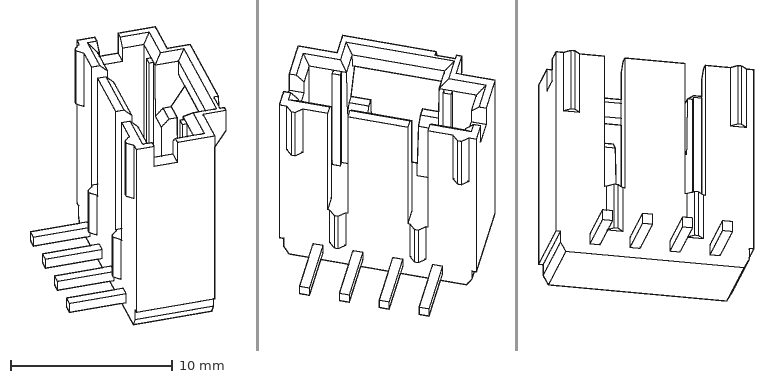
import cadquery as cq


height = 13.59
width = 12.57
depth = 5.1
overlap = 0.14

foot_height = 1.35
foot_step = 0.29
foot_bevel_width = 0.34
foot_bevel_height = 0.61

floor_z = 4.72
cavity_half_width = 5.33
cavity_front_y = 1.05
cavity_back_y = 4.05
mouth_bevel = 0.5
mouth_z = height - mouth_bevel

hood_width = 7.6
hood_reach = 1.5
hood_back_y = depth + hood_reach
hood_end_z = 12.07
hood_root_z = 9.81
hood_inner_y = 5.57
window_half_top = 2.95
window_half_bottom = 2.9
sill_bevel = 0.5
sill_z = 9.78

back_slot_half_top = 1.65
back_slot_half_bottom = 1.54

marker_x = 2.81
marker_top_width = 1.29
marker_bottom_width = 0.7
marker_depth = 0.3

side_notch_y = 1.92
side_notch_width = 1.51
side_notch_z = 12.1

slot_x = 2.55
slot_width = 1.28
rib_height = 0.4
rib_base = 1.03
rib_crest = 0.25
upper_rib_x = 5.3
upper_rib_bottom = 9.6
lower_rib_bottom = 1.73

key_x = 3.53
key_width = 0.52
key_height = 0.3

pin_count = 4
pin_pitch = 2.54
pin_width = 0.64
pin_thickness = 0.68
pin_bottom_z = 0.67
pin_reach = 3.68


def box(x_min, x_max, y_min, y_max, z_min, z_max):
    """Axis-aligned box between the given limits."""
    size = (x_max - x_min, y_max - y_min, z_max - z_min)
    return cq.Workplane("XY").box(*size, centered=False).translate((x_min, y_min, z_min))


def prism_along_y(points, y_min, y_max):
    """Prism with an XZ outline, running from y_min to y_max."""
    return cq.Workplane("XZ", origin=(0, y_min, 0)).polyline(points).close().extrude(y_min - y_max)


def prism_along_x(points, x_center, x_width):
    """Prism with a YZ outline, centred on x_center."""
    plane = cq.Workplane("YZ", origin=(x_center - x_width / 2, 0, 0))
    return plane.polyline(points).close().extrude(x_width)


def trapezoid(bottom_half, bottom_z, top_half, top_z, center_x=0.0):
    """Corners of an XZ trapezoid that is symmetric about center_x."""
    return [
        (center_x - bottom_half, bottom_z),
        (center_x + bottom_half, bottom_z),
        (center_x + top_half, top_z),
        (center_x - top_half, top_z),
    ]


def housing_block():
    """Solid block with the stepped foot, bevelled along both lower sides."""
    half = width / 2
    foot_half = half - foot_step
    right_side = [
        (foot_half - foot_bevel_width, 0),
        (foot_half, foot_bevel_height),
        (foot_half, foot_height),
        (half, foot_height),
        (half, height),
    ]
    left_side = [(-x, z) for x, z in reversed(right_side)]
    return prism_along_y(right_side + left_side, 0, depth)


def hood_block():
    """Solid hood with sloping cheeks, rooted in the back wall."""
    outline = [
        (depth - overlap, height),
        (hood_back_y, height),
        (hood_back_y, hood_end_z),
        (depth, hood_root_z),
        (depth - overlap, hood_root_z),
    ]
    return prism_along_x(outline, 0, hood_width)


def flared_cut(half_width, y_min, y_max):
    """Rectangular cutter that widens at 45 degrees from the bevel's lower edge to the top."""
    middle_y = (y_min + y_max) / 2
    length = y_max - y_min
    plane = cq.Workplane("XY", origin=(0, middle_y, mouth_z))
    lower = plane.rect(2 * half_width, length)
    upper = lower.workplane(offset=mouth_bevel)
    return upper.rect(2 * (half_width + mouth_bevel), length + 2 * mouth_bevel).loft(ruled=True)


def mouth_cut():
    """Bevel around the T-shaped opening at the top of cavity and hood."""
    cavity_mouth = flared_cut(cavity_half_width, cavity_front_y, cavity_back_y)
    hood_mouth = flared_cut(window_half_top, cavity_back_y - mouth_bevel, hood_inner_y)
    return cavity_mouth.union(hood_mouth)


def window_cut():
    """Drafted hood cavity, the window under the hood's rear wall and the bevelled sill."""
    opening = trapezoid(window_half_bottom, sill_z - sill_bevel, window_half_top, mouth_z)
    side_outline = [
        (cavity_back_y - overlap, sill_z - sill_bevel - overlap),
        (cavity_back_y + sill_bevel, sill_z),
        (hood_back_y + overlap, sill_z),
        (hood_back_y + overlap, hood_end_z),
        (hood_inner_y, hood_end_z),
        (hood_inner_y, mouth_z),
        (cavity_back_y - overlap, mouth_z),
    ]
    profile = prism_along_x(side_outline, 0, hood_width)
    return prism_along_y(opening, cavity_back_y - overlap, hood_back_y + overlap).intersect(profile)


def back_slot_cut():
    """Drafted slot from the window sill down to the cavity floor."""
    outline = trapezoid(back_slot_half_bottom, floor_z, back_slot_half_top, sill_z)
    return prism_along_y(outline, cavity_back_y - overlap, depth)


def marker_cut():
    """Notch in the hood's rear face, narrowing downwards."""
    outline = trapezoid(marker_bottom_width / 2, hood_end_z, marker_top_width / 2, height, marker_x)
    return prism_along_y(outline, hood_back_y - marker_depth, hood_back_y)


def crush_rib(x, bottom_z, top_z):
    """Vertical rib with sloping flanks on the outside of the front wall."""
    outline = [
        (x - rib_base / 2, overlap),
        (x - rib_base / 2, 0),
        (x - rib_crest / 2, -rib_height),
        (x + rib_crest / 2, -rib_height),
        (x + rib_base / 2, 0),
        (x + rib_base / 2, overlap),
    ]
    plane = cq.Workplane("XY", origin=(0, 0, bottom_z))
    return plane.polyline(outline).close().extrude(top_z - bottom_z)


def key_rib(x):
    """Rib on the inside of the back wall, from the floor to the lower edge of the mouth bevel."""
    half = key_width / 2
    return box(x - half, x + half, cavity_back_y - key_height, cavity_back_y + overlap, floor_z, mouth_z)


def pin(x):
    """Straight pin tail leaving the front wall."""
    half = pin_width / 2
    return box(x - half, x + half, -pin_reach, overlap, pin_bottom_z, pin_bottom_z + pin_thickness)


body = housing_block().union(hood_block())

body = body.cut(
    box(-cavity_half_width, cavity_half_width, cavity_front_y, cavity_back_y, floor_z, height)
)
for opening in (mouth_cut(), window_cut(), back_slot_cut(), marker_cut()):
    body = body.cut(opening)

notch_front = side_notch_y - side_notch_width / 2
notch_back = side_notch_y + side_notch_width / 2
body = body.cut(box(-width / 2, width / 2, notch_front, notch_back, side_notch_z, height))

for side in (-1, 1):
    slot_left = side * slot_x - slot_width / 2
    body = body.cut(box(slot_left, slot_left + slot_width, 0, cavity_front_y, floor_z, height))
    body = body.union(crush_rib(side * slot_x, lower_rib_bottom, floor_z))
    body = body.union(crush_rib(side * upper_rib_x, upper_rib_bottom, height))
    body = body.union(key_rib(side * key_x))

for index in range(pin_count):
    body = body.union(pin((index - (pin_count - 1) / 2) * pin_pitch))

result = body